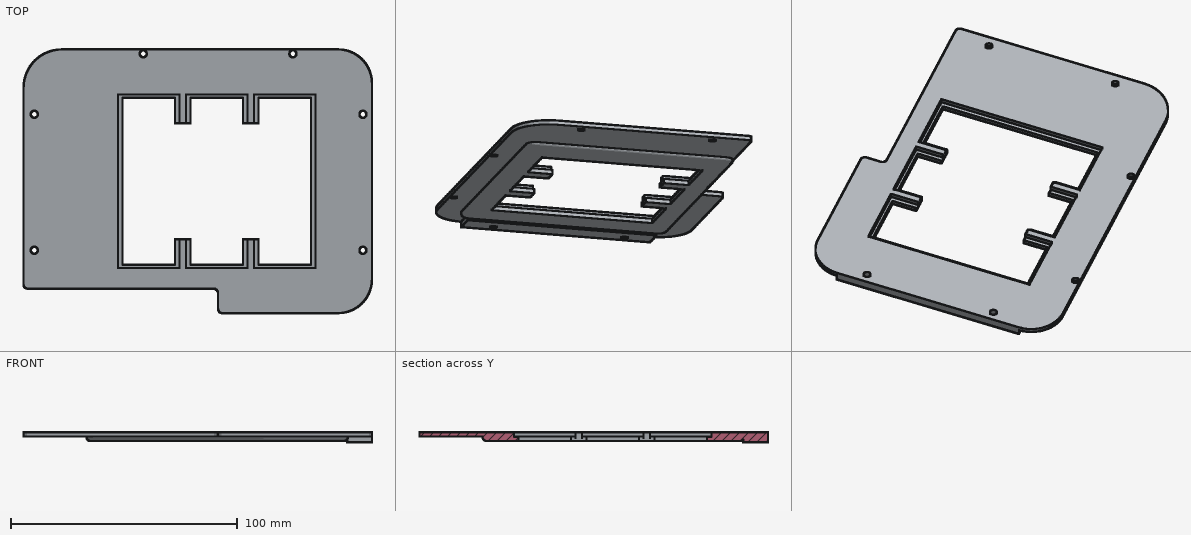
import cadquery as cq

PLATE_LENGTH = 153.85
PLATE_WIDTH = 116.5
PLATE_THICKNESS = 2.0
TOP_LEFT_RADIUS = 17.0
RIGHT_CORNER_RADIUS = 15.0
SMALL_RADIUS = 2.0

NOTCH_LENGTH = 85.85
NOTCH_DEPTH = 10.8

PAD_LEFT = 27.75
PAD_RIGHT = 143.25
PAD_HEIGHT = 2.0
PAD_WIDTH = 94.5
PAD_CORNER_RADIUS = 4.25
PAD_EDGE_RADIUS = 1.95

FOOT_LENGTH = 11.0
FOOT_HEIGHT = 2.5
FOOT_WIDTH = PLATE_WIDTH - 2 * RIGHT_CORNER_RADIUS

BAY_COUNT = 3
BAY_PITCH = 30.0
FIRST_BAY_CENTRE_X = 55.3
BAY_LENGTH = 27.0
BAY_WIDTH = 76.5
LEDGE_SIDE = 2.0
LEDGE_END = 1.5
RECESS_DEPTH = 2.0
FINGER_GAP = 51.0
FINGER_TIP_RADIUS = 0.5

PICK_MARGIN = 0.1

HOLE_DIAMETER = 3.0
TOP_HOLES_X = (52.85, 118.9)
TOP_HOLE_EDGE_DISTANCE = 2.0
SIDE_HOLES_X = (4.8, 149.8)
SIDE_HOLES_Y = (27.8, 87.8)

MID_Y = PLATE_WIDTH / 2
TOTAL_DEPTH = PLATE_THICKNESS + PAD_HEIGHT
WINDOW_CENTRE_X = FIRST_BAY_CENTRE_X + (BAY_COUNT - 1) * BAY_PITCH / 2


def block(length, width, height, centre_x, top_z):
    """Box centred across the plate width, hanging down from top_z."""
    box = cq.Workplane("XY").box(length, width, height, centered=(True, True, False))
    return box.translate((centre_x, MID_Y, top_z - height))


def make_plate():
    plate = (
        cq.Workplane("XY")
        .workplane(offset=-PLATE_THICKNESS)
        .moveTo(0, NOTCH_DEPTH)
        .lineTo(NOTCH_LENGTH, NOTCH_DEPTH)
        .lineTo(NOTCH_LENGTH, 0)
        .lineTo(PLATE_LENGTH, 0)
        .lineTo(PLATE_LENGTH, PLATE_WIDTH)
        .lineTo(0, PLATE_WIDTH)
        .close()
        .extrude(PLATE_THICKNESS)
    )
    plate = plate.edges("|Z and >X").fillet(RIGHT_CORNER_RADIUS)
    plate = plate.edges("|Z and <X and >Y").fillet(TOP_LEFT_RADIUS)
    notch_corners = cq.selectors.BoxSelector(
        (-PICK_MARGIN, -PICK_MARGIN, -TOTAL_DEPTH),
        (NOTCH_LENGTH + PICK_MARGIN, NOTCH_DEPTH + PICK_MARGIN, PICK_MARGIN),
    )
    return plate.edges("|Z").edges(notch_corners).fillet(SMALL_RADIUS)


def make_pad():
    length = PAD_RIGHT - PAD_LEFT
    pad = block(length, PAD_WIDTH, PAD_HEIGHT, PAD_LEFT + length / 2, -PLATE_THICKNESS)
    pad = pad.edges("|Z").fillet(PAD_CORNER_RADIUS)
    return pad.faces("<Z").edges().fillet(PAD_EDGE_RADIUS)


def make_foot():
    return block(FOOT_LENGTH, FOOT_WIDTH, FOOT_HEIGHT, PLATE_LENGTH - FOOT_LENGTH / 2, -PLATE_THICKNESS)


def make_window(bay_length, bay_width, depth):
    """Cutter for the bays at one level, joined across the gap between the fingers."""
    full_length = (BAY_COUNT - 1) * BAY_PITCH + bay_length
    window = block(full_length, FINGER_GAP, depth, WINDOW_CENTRE_X, 0)
    for bay in range(BAY_COUNT):
        centre_x = FIRST_BAY_CENTRE_X + bay * BAY_PITCH
        window = window.union(block(bay_length, bay_width, depth, centre_x, 0))
    return window


def round_finger_tips(body):
    """Round the upper end edges of the finger webs and of the ledges beside them."""
    half_gap = FINGER_GAP / 2
    tips = cq.selectors.BoxSelector(
        (0, MID_Y - half_gap - PICK_MARGIN, -RECESS_DEPTH - PICK_MARGIN),
        (PLATE_LENGTH, MID_Y + half_gap + PICK_MARGIN, PICK_MARGIN),
    )
    return body.edges("|X").edges(tips).fillet(FINGER_TIP_RADIUS)


def make_holes():
    points = [(x, PLATE_WIDTH - TOP_HOLE_EDGE_DISTANCE) for x in TOP_HOLES_X]
    points += [(x, y) for x in SIDE_HOLES_X for y in SIDE_HOLES_Y]
    holes = cq.Workplane("XY").pushPoints(points).circle(HOLE_DIAMETER / 2)
    return holes.extrude(-PLATE_THICKNESS - FOOT_HEIGHT)


result = make_plate().union(make_pad()).union(make_foot())
result = result.cut(make_window(BAY_LENGTH, BAY_WIDTH, RECESS_DEPTH))
result = result.cut(
    make_window(BAY_LENGTH - 2 * LEDGE_SIDE, BAY_WIDTH - 2 * LEDGE_END, TOTAL_DEPTH)
)
result = result.cut(make_holes())
result = round_finger_tips(result)